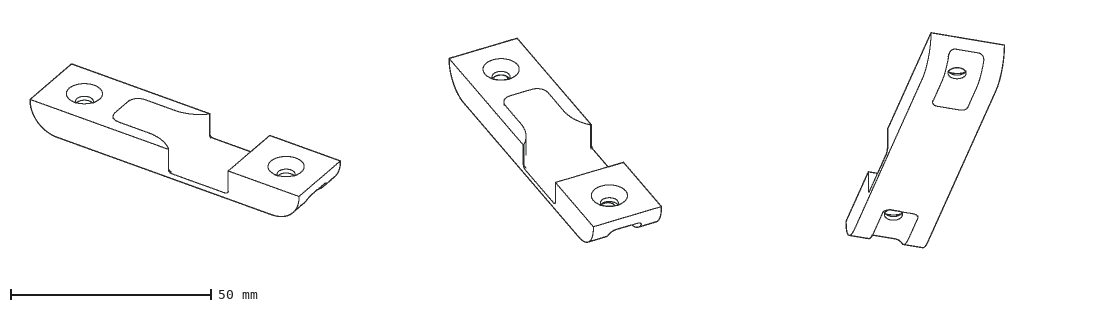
import cadquery as cq
import math

length = 80.0
width = 19.0
height = 8.5
end_radius = 8.0

floor_height = 1.5
slot_start = 21.0
slot_width = 12.0
slot_corner_radius = 3.0
flare_start = 33.0
flare_radius = 11.7
flare_length = 8.2
recess_end = 59.0
floor_fillet = 1.0

hole_inset = 10.0
hole_diameter = 4.5
countersink_diameter = 9.0
countersink_angle = 90.0
pocket_width = 9.0
pocket_height = 5.0
pocket_fillet = 1.6
pocket_end = 18.0


def make_body():
    block = cq.Workplane("XY").box(length, width, height, centered=(False, True, False))
    return block.edges("|Y and <Z").fillet(end_radius)


def make_recess():
    half_slot = slot_width / 2
    half_width = width / 2
    flare_angle = math.asin(flare_length / flare_radius)

    def flare_point(angle):
        x = flare_start + flare_radius * math.sin(angle)
        y = half_slot + flare_radius * (1 - math.cos(angle))
        return x, y

    mid_x, mid_y = flare_point(flare_angle / 2)
    end_x, end_y = flare_point(flare_angle)
    outer_y = half_width + 2 * floor_fillet
    outline = (
        cq.Workplane("XY", origin=(0, 0, floor_height))
        .moveTo(slot_start, -half_slot)
        .lineTo(flare_start, -half_slot)
        .threePointArc((mid_x, -mid_y), (end_x, -end_y))
        .lineTo(end_x, -outer_y)
        .lineTo(recess_end, -outer_y)
        .lineTo(recess_end, outer_y)
        .lineTo(end_x, outer_y)
        .lineTo(end_x, end_y)
        .threePointArc((mid_x, mid_y), (flare_start, half_slot))
        .lineTo(slot_start, half_slot)
        .close()
    )
    recess = outline.extrude(height - floor_height)
    recess = recess.edges("|Z and <X").fillet(slot_corner_radius)
    return recess.faces("<Z").edges().fillet(floor_fillet)


def make_end_pocket():
    pocket = cq.Workplane("XY").box(2 * pocket_end, pocket_width, 2 * pocket_height)
    return pocket.edges(">X or (>Z and |X)").fillet(pocket_fillet)


recess = make_recess()
left_pocket = make_end_pocket()
right_pocket = left_pocket.mirror("YZ").translate((length, 0, 0))
result = make_body().cut(recess).cut(left_pocket).cut(right_pocket)

result = (
    result.faces(">Z").workplane(origin=(0, 0, height))
    .pushPoints([(hole_inset, 0), (length - hole_inset, 0)])
    .cskHole(hole_diameter, countersink_diameter, countersink_angle)
)